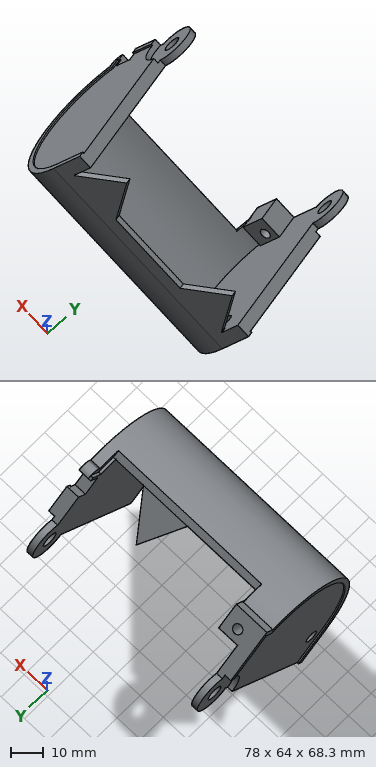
import cadquery as cq
import math

tilt_angle = 50.0

length = 78.0
drum_radius = 29.0
shell_thickness = 2.0
inner_radius = drum_radius - shell_thickness
wall_thickness = 5.0
open_side = -14.0
shoulder_reach = 15.0

lug_rise = 26.1
lug_radius = 7.5
lug_hole_diameter = 5.5
lug_clearance_radius = 8.9

shell_edge = -5.4
tooth_tip = -22.15
tooth_half_width = 9.5
tooth_inset = 14.7

opening_rise = 19.8
opening_start = 12.7
opening_end = 74.0
opening_reach = 13.1

block_length = 13.0
block_start = 4.8
screw_diameter = 3.5
screw_x = 7.95
screw_reach = 9.0

pin_hole_diameter = 4.5
pin_hole_rise = -21.8
pin_hole_reach = -1.5

hook_radius = 3.2
notch_start = block_start
notch_end = shoulder_reach - hook_radius
notch_depth = 4.7
end_recess_depth = 0.55

angle = math.radians(tilt_angle)
rise_direction = cq.Vector(0, math.cos(angle), math.sin(angle))
reach_direction = cq.Vector(0, -math.sin(angle), math.cos(angle))


def profile_plane(x):
    return cq.Workplane(cq.Plane((x, 0, 0), rise_direction, (1, 0, 0)))


def box(x, rise, reach):
    """Box given as (start, end) pairs along X, rise and reach."""
    sketch = profile_plane(x[0]).moveTo(rise[0], reach[0]).lineTo(rise[1], reach[0])
    sketch = sketch.lineTo(rise[1], reach[1]).lineTo(rise[0], reach[1]).close()
    return sketch.extrude(x[1] - x[0])


def cylinder(x, rise, reach, radius):
    return profile_plane(x[0]).center(rise, reach).circle(radius).extrude(x[1] - x[0])


def body(x, inset=0.0):
    """Solid of the end outline: flat top, step, drum arc and tangent lower side."""
    radius = drum_radius - inset
    shoulder = shoulder_reach - inset
    step_rise = math.sqrt(radius**2 - shoulder**2)
    sketch = profile_plane(x[0]).moveTo(-radius, open_side).lineTo(radius, open_side)
    sketch = sketch.lineTo(radius, shoulder).lineTo(step_rise, shoulder)
    sketch = sketch.threePointArc((0, radius), (-radius, 0)).close()
    return sketch.extrude(x[1] - x[0])


def end_wall(outer_x, inner_x):
    """End wall with its hinge lug and the clearance around the lug."""
    seam_x = (outer_x + inner_x) / 2
    outer_half = sorted((outer_x, seam_x))
    inner_half = sorted((seam_x, inner_x))
    wall = body(sorted((outer_x, inner_x)))
    wall = wall.cut(cylinder(outer_half, lug_rise, open_side, lug_clearance_radius))
    wall = wall.union(cylinder(inner_half, lug_rise, open_side, lug_radius))
    return wall.cut(cylinder(inner_half, lug_rise, open_side, lug_hole_diameter / 2))


def drum_shell():
    """Round shell between the end walls, with a tangent straight lower side."""
    span = (wall_thickness, length - wall_thickness)
    shell = cylinder(span, 0, 0, drum_radius)
    shell = shell.cut(box(span, (-drum_radius, drum_radius), (-drum_radius, 0)))
    shell = shell.cut(cylinder(span, 0, 0, inner_radius))
    shell = shell.cut(box(span, (opening_rise, drum_radius), (0, opening_reach)))
    return shell.union(box(span, (-drum_radius, -inner_radius), (shell_edge, 0)))


def tooth(tip_x):
    plane = cq.Plane(rise_direction * -drum_radius, (1, 0, 0), rise_direction * -1)
    corners = [
        (tip_x - tooth_half_width, shell_edge),
        (tip_x + tooth_half_width, shell_edge),
        (tip_x, tooth_tip),
    ]
    return cq.Workplane(plane).polyline(corners).close().extrude(-shell_thickness)


def shell_opening():
    """Space above the opening edge, down to the inner drum surface."""
    span = (opening_start, opening_end)
    opening = box(span, (opening_rise, drum_radius), (opening_reach, drum_radius))
    core = cylinder((length - wall_thickness, opening_end), 0, 0, inner_radius)
    return opening.cut(core)


def screw_block():
    block = box((0, block_length), (opening_rise, drum_radius), (block_start, shoulder_reach))
    start = rise_direction * opening_rise + reach_direction * screw_reach + cq.Vector(screw_x, 0, 0)
    hole = cq.Solid.makeCylinder(screw_diameter / 2, drum_radius - opening_rise, start, rise_direction)
    return block, cq.Workplane(hole)


def hook_rounding():
    """Material outside the rounded outer corner of the hook."""
    span = (opening_end, length)
    center_rise = drum_radius - hook_radius
    center_reach = shoulder_reach - hook_radius
    corner = box(span, (center_rise, drum_radius), (center_reach, shoulder_reach))
    return corner.cut(cylinder(span, center_rise, center_reach, hook_radius))


left_wall = end_wall(0, wall_thickness)
right_wall = end_wall(length, length - wall_thickness)
result = drum_shell().union(left_wall).union(right_wall)
result = result.union(tooth(tooth_inset)).union(tooth(length - tooth_inset))
result = result.cut(shell_opening())

block, screw_hole = screw_block()
result = result.union(block).cut(screw_hole)
result = result.cut(cylinder((0, wall_thickness), pin_hole_rise, pin_hole_reach, pin_hole_diameter / 2))

notch_x = (length - wall_thickness, length)
result = result.cut(box(notch_x, (drum_radius - notch_depth, drum_radius), (notch_start, notch_end)))
result = result.cut(hook_rounding())

for recess_x in ((0, end_recess_depth), (length - end_recess_depth, length)):
    result = result.cut(body(recess_x, shell_thickness))